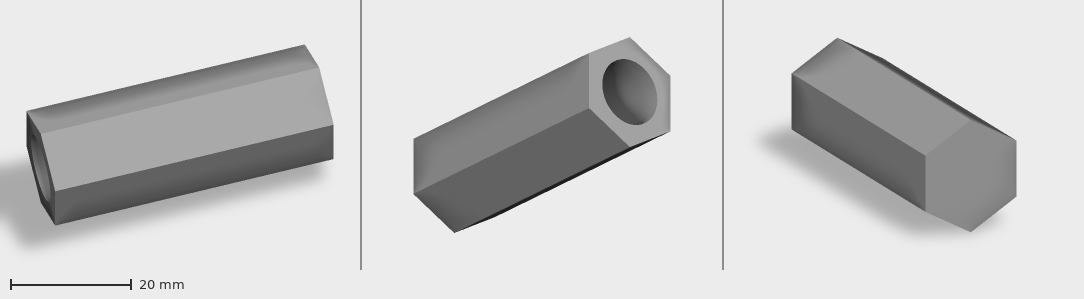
import cadquery as cq
import math

length = 48.0
across_flats = 17.0
across_corners = across_flats / math.cos(math.radians(30))

bore_diameter = 11.4
bore_depth = 19.2


def hexagonal_bar():
    """Bar centred on the origin, with flat sides facing +X and -X."""
    return (
        cq.Workplane("XZ")
        .transformed(rotate=(0, 0, 90))
        .polygon(6, across_corners)
        .extrude(length / 2, both=True)
    )


def end_bore():
    """Cylinder that reaches from the -Y end face to the bore bottom."""
    return (
        cq.Workplane("XZ", origin=(0, -length / 2, 0))
        .circle(bore_diameter / 2)
        .extrude(-bore_depth)
    )


result = hexagonal_bar().cut(end_bore())